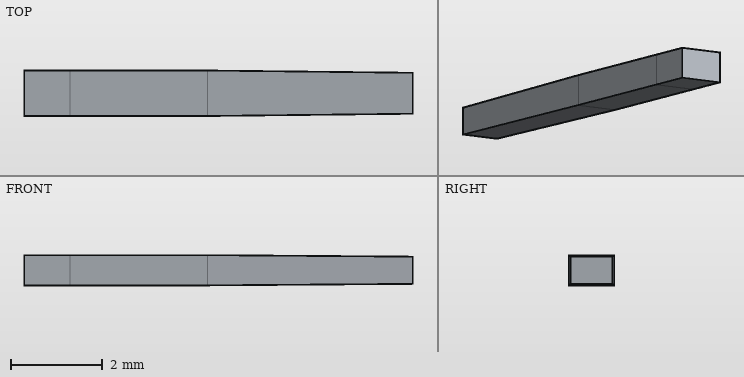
import cadquery as cq

width = 1.0
height_to_width = 2 / 3
height = width * height_to_width
total_length = 8.5
head_length = 1.0
body_length = 3.0
tip_scale = 0.9

taper_start = head_length + body_length
taper_length = total_length - taper_start


def straight_block(start, length):
    """Full-section block beginning at the given X."""
    return cq.Workplane("YZ", origin=(start, 0, 0)).rect(width, height).extrude(length)


def tapered_tip():
    """Shank narrowing evenly from the full section to the scaled tip section."""
    return (
        cq.Workplane("YZ", origin=(taper_start, 0, 0))
        .rect(width, height)
        .workplane(offset=taper_length)
        .rect(width * tip_scale, height * tip_scale)
        .loft(combine=True, ruled=True)
    )


head = straight_block(0, head_length)
body = straight_block(head_length, body_length)

result = head.union(body, clean=False).union(tapered_tip(), clean=False)